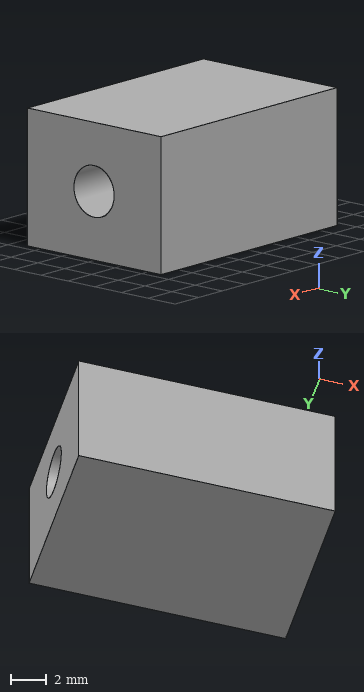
import cadquery as cq

length = 15.0
width = 10.0
height = 8.0

bore_diameter = 3.0

block = cq.Workplane("XY").box(length, width, height)

result = block.faces("<X").workplane(centerOption="CenterOfBoundBox").hole(bore_diameter)